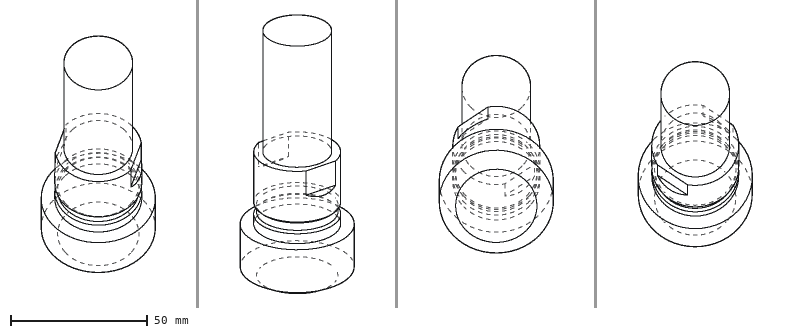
import cadquery as cq

total_height = 101.0
shank_length = 50.0
shoulder_z = total_height - shank_length

shank_diameter = 25.4
collar_diameter = 32.0
groove_diameter = 30.0
head_diameter = 42.0

head_height = 21.2
head_bevel_height = 3.5
head_bevel_width = 6.1

groove_bottom_z = 25.2
groove_top_z = 30.1
groove_wall_height = 0.9

flat_spacing = 29.0
flat_length = 10.0
flat_runout_height = 1.5


def turned_body():
    """Head, grooved collar and shank, revolved about Z from a half profile."""
    shank_radius = shank_diameter / 2
    collar_radius = collar_diameter / 2
    groove_radius = groove_diameter / 2
    head_radius = head_diameter / 2
    half_profile = [
        (0, 0),
        (head_radius - head_bevel_width, 0),
        (head_radius, head_bevel_height),
        (head_radius, head_height),
        (collar_radius, head_height),
        (collar_radius, groove_bottom_z),
        (groove_radius, groove_bottom_z + groove_wall_height),
        (groove_radius, groove_top_z - groove_wall_height),
        (collar_radius, groove_top_z),
        (collar_radius, shoulder_z),
        (shank_radius, shoulder_z),
        (shank_radius, total_height),
        (0, total_height),
    ]
    return cq.Workplane("XZ").polyline(half_profile).close().revolve(360, (0, 0), (0, 1))


def flat_cutter(side):
    """Cutter for the flat on the +X (side = 1) or -X (side = -1) face, with a sloping lower end."""
    inner_x = side * flat_spacing / 2
    outer_x = side * collar_diameter / 2
    flat_bottom_z = shoulder_z - flat_length
    outline = [
        (inner_x, shoulder_z),
        (inner_x, flat_bottom_z),
        (outer_x, flat_bottom_z - flat_runout_height),
        (outer_x, shoulder_z),
    ]
    return cq.Workplane("XZ").polyline(outline).close().extrude(collar_diameter / 2, both=True)


result = turned_body()
for side in (-1, 1):
    result = result.cut(flat_cutter(side))